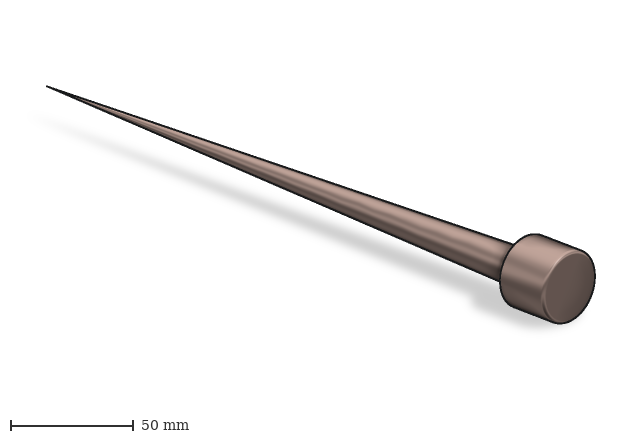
import cadquery as cq

total_length = 294.7

head_diameter = 31.5
head_length = 25.4
head_edge_radius = 1.6

shank_root_diameter = 16.8
shank_length = total_length - head_length


def make_shank():
    """Long cone, sharp at the tip and widest where it meets the head."""
    return (
        cq.Workplane("XY")
        .lineTo(shank_length, shank_root_diameter / 2)
        .lineTo(shank_length, 0)
        .close()
        .revolve(360, (0, 0, 0), (1, 0, 0))
    )


def make_head():
    """Plain cylinder with both rims rounded."""
    return (
        cq.Workplane("YZ", origin=(shank_length, 0, 0))
        .circle(head_diameter / 2)
        .extrude(head_length)
        .edges("%CIRCLE")
        .fillet(head_edge_radius)
    )


result = make_head().union(make_shank())